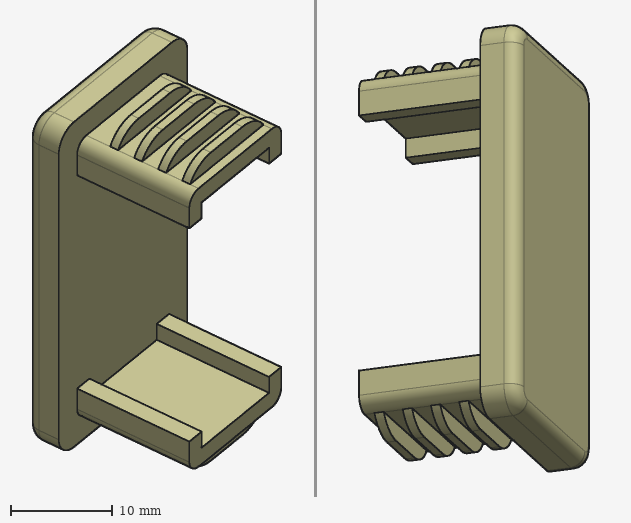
import cadquery as cq

plate_height = 41.0
plate_width = 21.0
plate_thickness = 4.0
plate_corner_radius = 2.5
plate_edge_radius = 1.5

total_depth = 18.0
leg_length = total_depth - plate_thickness
leg_width = 15.0
leg_thickness = 4.1
leg_edge_radius = 1.5
leg_inset = 2.95
channel_depth = 2.0
channel_wall = 2.0
channel_width = leg_width - 2 * channel_wall
leg_outer_z = plate_height / 2 - leg_inset
leg_inner_z = leg_outer_z - leg_thickness
channel_floor_z = leg_inner_z + channel_depth

fin_count = 4
fin_thickness = 1.0
fin_pitch = 3.0
first_fin_x = 6.95
fin_height = 1.9
fin_base_width = leg_width - 2 * leg_edge_radius
fin_flat_width = 5.15
fin_tip_z = leg_outer_z + fin_height


def make_plate():
    """Round-cornered plate with its front rim rounded over."""
    block = cq.Workplane("YZ").rect(plate_width, plate_height).extrude(plate_thickness)
    block = block.edges("|X").fillet(plate_corner_radius)
    return block.faces("<X").edges().fillet(plate_edge_radius)


def make_leg():
    """Upper leg, with the two long outer edges rounded and a channel along its inner face."""
    leg_center_z = (leg_outer_z + leg_inner_z) / 2
    leg = (
        cq.Workplane("YZ", origin=(plate_thickness, 0, 0))
        .center(0, leg_center_z)
        .rect(leg_width, leg_thickness)
        .extrude(leg_length)
    )
    leg = leg.edges("|X and >Z").fillet(leg_edge_radius)
    channel = (
        cq.Workplane("YZ", origin=(plate_thickness, 0, 0))
        .center(0, leg_inner_z + channel_depth / 2)
        .rect(channel_width, channel_depth)
        .extrude(leg_length)
    )
    return leg.cut(channel)


def make_fin(x):
    """Fin with a flat tip whose ends curve down to the leg."""
    half_base = fin_base_width / 2
    half_flat = fin_flat_width / 2
    end_run = half_base - half_flat
    end_radius = (end_run**2 + fin_height**2) / (2 * fin_height)
    mid_y = half_flat + end_run / 2
    mid_z = fin_tip_z - end_radius + (end_radius**2 - (end_run / 2) ** 2) ** 0.5
    return (
        cq.Workplane("YZ", origin=(x, 0, 0))
        .moveTo(-half_base, channel_floor_z)
        .lineTo(-half_base, leg_outer_z)
        .threePointArc((-mid_y, mid_z), (-half_flat, fin_tip_z))
        .lineTo(half_flat, fin_tip_z)
        .threePointArc((mid_y, mid_z), (half_base, leg_outer_z))
        .lineTo(half_base, channel_floor_z)
        .close()
        .extrude(fin_thickness)
    )


upper_leg = make_leg()
for index in range(fin_count):
    upper_leg = upper_leg.union(make_fin(first_fin_x + index * fin_pitch))

lower_leg = upper_leg.mirror("XY")
result = make_plate().union(upper_leg).union(lower_leg)